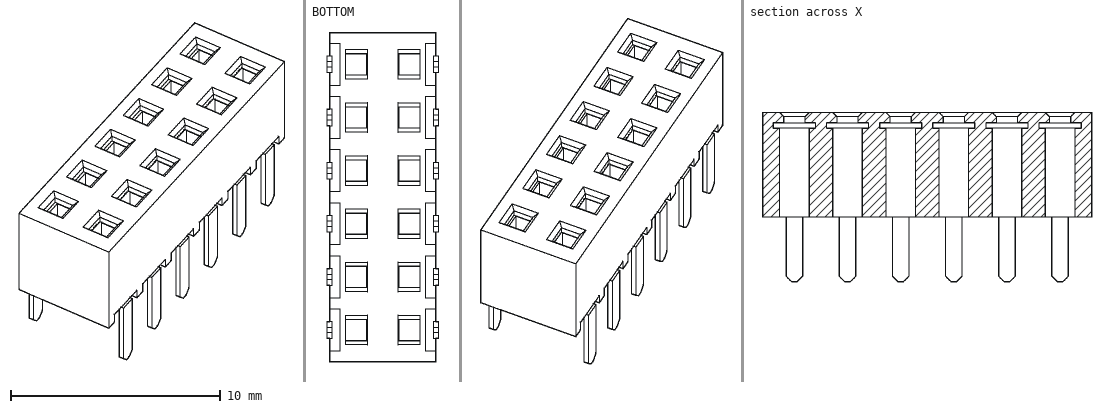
import cadquery as cq

PITCH = 2.54
ROWS = 6
COLUMNS = 2

END_MARGIN = 0.25
BODY_X = COLUMNS * PITCH
BODY_Y = ROWS * PITCH + 2 * END_MARGIN
BODY_Z = 5.0

NOTCH_WIDTH = 2.0
NOTCH_HEIGHT = 0.5
NOTCH_DEPTH = 0.5

NECK_SIZE = 1.0
LEAD_IN = 0.2
NECK_HEIGHT = 0.3
RELIEF_HEIGHT = 0.25
RELIEF_REACH = 0.3
INNER_STEP = 0.05
PASSAGE_Y = 1.4

PIN_WIDTH = 0.8
PIN_THICKNESS = 0.25
PIN_BELOW_BODY = 3.1
TIP_CHAMFER = 0.275

ROW_CENTRES = [(i - (ROWS - 1) / 2) * PITCH for i in range(ROWS)]
SIDES = (-1, 1)


def box_between_z(size_x, size_y, z_low, z_high, x, y):
    """Box centred on (x, y) and spanning z_low to z_high."""
    box = cq.Workplane("XY").box(size_x, size_y, z_high - z_low, centered=(True, True, False))
    return box.translate((x, y, z_low))


def make_socket(side, y):
    """Cutter for one socket; its relief reaches outward, away from X = 0."""
    x = side * PITCH / 2
    neck_top = BODY_Z - LEAD_IN
    neck_bottom = neck_top - NECK_HEIGHT
    shelf = neck_bottom - RELIEF_HEIGHT

    mouth_size = NECK_SIZE + 2 * LEAD_IN
    lead_in = (
        cq.Workplane("XY", origin=(x, y, BODY_Z))
        .rect(mouth_size, mouth_size)
        .workplane(offset=-LEAD_IN)
        .rect(NECK_SIZE, NECK_SIZE)
        .loft(ruled=True)
    )
    neck = box_between_z(NECK_SIZE, NECK_SIZE, shelf, neck_top, x, y)
    relief_x = NECK_SIZE + RELIEF_REACH + INNER_STEP
    relief_y = PASSAGE_Y + 2 * RELIEF_REACH
    relief_centre = x + side * (RELIEF_REACH - INNER_STEP) / 2
    relief = box_between_z(relief_x, relief_y, shelf, neck_bottom, relief_centre, y)
    passage_x = NECK_SIZE + INNER_STEP
    passage_centre = x - side * INNER_STEP / 2
    passage = box_between_z(passage_x, PASSAGE_Y, 0, shelf, passage_centre, y)
    return lead_in.union(neck).union(relief).union(passage)


def make_notch(side, y):
    """Cutter for the notch around one pin."""
    x = side * (BODY_X - NOTCH_DEPTH) / 2
    return box_between_z(NOTCH_DEPTH, NOTCH_WIDTH, 0, NOTCH_HEIGHT, x, y)


def make_pin(side, y):
    """Flat pin hanging from the notch ceiling, with its tip chamfered across the width."""
    pin = box_between_z(PIN_THICKNESS, PIN_WIDTH, -PIN_BELOW_BODY, NOTCH_HEIGHT, side * BODY_X / 2, y)
    return pin.faces("<Z").edges("|X").chamfer(TIP_CHAMFER)


result = box_between_z(BODY_X, BODY_Y, 0, BODY_Z, 0, 0)
for row_y in ROW_CENTRES:
    for column_side in SIDES:
        result = result.cut(make_socket(column_side, row_y))
        result = result.cut(make_notch(column_side, row_y))
        result = result.union(make_pin(column_side, row_y))